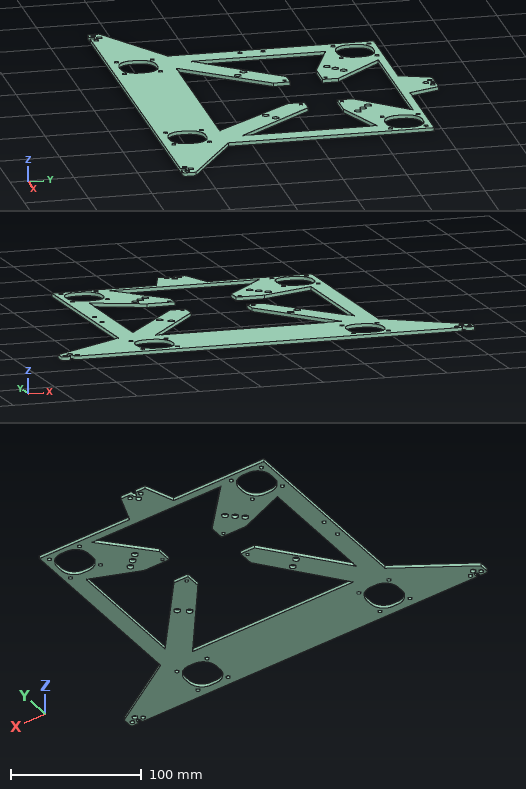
import cadquery as cq
import math

THICKNESS = 3.0
LENGTH = 333.64
DEPTH = 235.76
TOP_Y = DEPTH / 2
BOTTOM_Y = -DEPTH / 2

FRAME_HALF_WIDTH = 104.95
FRAME_TOP_Y = 93.12
WING_ROOT_Y = -68.55
WING_TIP_HEIGHT = 9.8
WING_CORNER_RADIUS = 2.0
TAB_ROOT_HALF_WIDTH = 20.65
TAB_TIP_HALF_WIDTH = 11.35

OPENING_TOP_Y = 86.4
OPENING_BOTTOM_Y = WING_ROOT_Y
OPENING_LEFT = 88.3
OPENING_RIGHT = 90.3
ARM_TIP_X = 24.5
REAR_ARM_ROOT_X = 60.1
REAR_ARM_SHOULDER_Y = 47.3
REAR_ARM_TIP_Y = 34.8
REAR_ARM_HEEL_X = 47.4
REAR_ARM_SIDE_Y = 51.3
FRONT_ARM_SIDE_Y = -53.8
FRONT_ARM_TIP_Y = 9.5
FRONT_ARM_SHOULDER_X = 37.6
FRONT_ARM_HEEL_Y = -3.9
FRONT_ARM_ROOT_X = 74.9

MOTOR_PITCH = 170.0
MOTOR_CENTER_Y = -11.1
MOTOR_OPENING = 29.0
MOTOR_OPENING_RADIUS = 12.0
MOTOR_SCREW_PITCH = 28.1
MOTOR_SCREW_DIAMETER = 3.0

EDGE_SCREW_OFFSET = 5.0
TAB_SCREW_INSET = 3.45
WING_SCREW_INSET = 4.0
EDGE_SCREW_DIAMETER = 3.4
EDGE_HOLE_INSET = 7.75
EDGE_HOLE_DIAMETER = 4.2
NOTCH_WIDTH = 3.0
NOTCH_MOUTH_RADIUS = 1.0
TAB_NOTCH_DEPTH = 3.75
WING_NOTCH_DEPTH = 4.4
WING_PATTERN_X = 158.0

ARM_HOLE_DIAMETER = 5.0
REAR_ARM_HOLES = [(42.1, 55.2), (47.9, 50.0), (53.6, 44.7)]
FRONT_ARM_HOLES = [(55.5, -20.35), (48.2, -26.4)]
ARM_TIP_HOLE_DIAMETER = 2.53
ARM_TIP_HOLES = [(28.5, 37.9), (28.5, 5.7)]
RAIL_HOLE_DIAMETER = 3.0
RAIL_HOLE_X = -99.5
RAIL_HOLES_Y = (5.0, -13.0)


def prism(points):
    """Full-thickness prism over a closed polygon."""
    return cq.Workplane("XY").polyline(points).close().extrude(THICKNESS)


def drill(points, diameter):
    """Full-thickness cylinders at the given points."""
    return cq.Workplane("XY").pushPoints(points).circle(diameter / 2).extrude(THICKNESS)


def both_sides(points):
    """The points together with their mirror images across the YZ plane."""
    return points + [(-x, y) for x, y in points]


def mirrored_outline(right_points):
    """Closed symmetric outline from the points of its right half."""
    return right_points + [(-x, y) for x, y in reversed(right_points)]


def plate_blank():
    """Solid plate: square frame, two front wings with rounded outer corners and the rear tab."""
    blank = prism(mirrored_outline([
        (LENGTH / 2, BOTTOM_Y),
        (LENGTH / 2, BOTTOM_Y + WING_TIP_HEIGHT),
        (FRAME_HALF_WIDTH, WING_ROOT_Y),
        (FRAME_HALF_WIDTH, FRAME_TOP_Y),
        (TAB_ROOT_HALF_WIDTH, FRAME_TOP_Y),
        (TAB_TIP_HALF_WIDTH, TOP_Y),
    ]))
    for corner_x in (-LENGTH / 2, LENGTH / 2):
        corner = cq.selectors.NearestToPointSelector((corner_x, BOTTOM_Y, THICKNESS / 2))
        blank = blank.edges(corner).fillet(WING_CORNER_RADIUS)
    return blank


def opening_side(side_x):
    """One side of the central opening, rear to front, for a rail inner edge at side_x."""
    return [
        (REAR_ARM_ROOT_X, OPENING_TOP_Y),
        (ARM_TIP_X, REAR_ARM_SHOULDER_Y),
        (ARM_TIP_X, REAR_ARM_TIP_Y),
        (REAR_ARM_HEEL_X, REAR_ARM_TIP_Y),
        (side_x, REAR_ARM_SIDE_Y),
        (side_x, FRONT_ARM_SIDE_Y),
        (FRONT_ARM_SHOULDER_X, FRONT_ARM_TIP_Y),
        (ARM_TIP_X, FRONT_ARM_TIP_Y),
        (ARM_TIP_X, FRONT_ARM_HEEL_Y),
        (FRONT_ARM_ROOT_X, OPENING_BOTTOM_Y),
    ]


def central_opening():
    """Opening around the four arms; the left rail is wider than the right one."""
    right = opening_side(OPENING_RIGHT)
    left = [(-x, y) for x, y in reversed(opening_side(OPENING_LEFT))]
    return prism(right + left)


def motor_mount(x, y):
    """Rounded square motor opening with four screw holes around it."""
    opening = (
        cq.Workplane("XY")
        .rect(MOTOR_OPENING, MOTOR_OPENING)
        .extrude(THICKNESS)
        .edges("|Z")
        .fillet(MOTOR_OPENING_RADIUS)
    )
    half = MOTOR_SCREW_PITCH / 2
    screws = drill(both_sides([(half, half), (half, -half)]), MOTOR_SCREW_DIAMETER)
    return opening.union(screws).translate((x, y, 0))


def edge_notch(depth):
    """Round-ended notch running along +Y from the X axis, with its mouth corners rounded off."""
    half_width = NOTCH_WIDTH / 2
    mouth_x = half_width + NOTCH_MOUTH_RADIUS
    arc_middle_x = mouth_x - NOTCH_MOUTH_RADIUS * math.sqrt(0.5)
    arc_middle_y = NOTCH_MOUTH_RADIUS * (1 - math.sqrt(0.5))
    return (
        cq.Workplane("XY")
        .moveTo(-mouth_x, 0)
        .threePointArc((-arc_middle_x, arc_middle_y), (-half_width, NOTCH_MOUTH_RADIUS))
        .lineTo(-half_width, depth - half_width)
        .threePointArc((0, depth), (half_width, depth - half_width))
        .lineTo(half_width, NOTCH_MOUTH_RADIUS)
        .threePointArc((arc_middle_x, arc_middle_y), (mouth_x, 0))
        .close()
        .extrude(THICKNESS)
    )


def edge_pattern(screw_inset, notch_depth):
    """Notch with a screw hole on each side and a larger hole behind it, inward along +Y."""
    screws = drill(
        [(-EDGE_SCREW_OFFSET, screw_inset), (EDGE_SCREW_OFFSET, screw_inset)],
        EDGE_SCREW_DIAMETER,
    )
    hole = drill([(0, EDGE_HOLE_INSET)], EDGE_HOLE_DIAMETER)
    return edge_notch(notch_depth).union(screws).union(hole)


result = plate_blank().cut(central_opening())

for motor_x in (-MOTOR_PITCH / 2, MOTOR_PITCH / 2):
    for motor_y in (MOTOR_CENTER_Y - MOTOR_PITCH / 2, MOTOR_CENTER_Y + MOTOR_PITCH / 2):
        result = result.cut(motor_mount(motor_x, motor_y))

tab_pattern = edge_pattern(TAB_SCREW_INSET, TAB_NOTCH_DEPTH)
result = result.cut(tab_pattern.rotate((0, 0, 0), (0, 0, 1), 180).translate((0, TOP_Y, 0)))

wing_pattern = edge_pattern(WING_SCREW_INSET, WING_NOTCH_DEPTH)
for wing_x in (-WING_PATTERN_X, WING_PATTERN_X):
    result = result.cut(wing_pattern.translate((wing_x, BOTTOM_Y, 0)))

result = result.cut(drill(both_sides(REAR_ARM_HOLES + FRONT_ARM_HOLES), ARM_HOLE_DIAMETER))
result = result.cut(drill(both_sides(ARM_TIP_HOLES), ARM_TIP_HOLE_DIAMETER))
result = result.cut(drill([(RAIL_HOLE_X, y) for y in RAIL_HOLES_Y], RAIL_HOLE_DIAMETER))